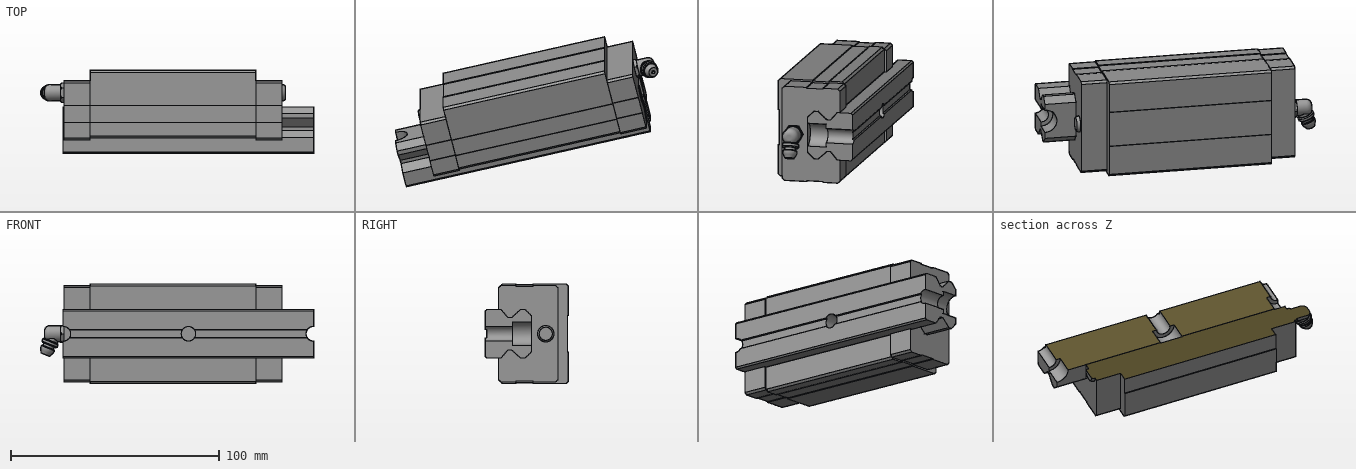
import cadquery as cq
import math


overall_length = 131.4
tool_margin = 1.3

rail_length = 120.6
rail_height = 22.3
rail_half_width = 11.7
rail_top_half_width = 8.7
rail_head_low, rail_head_high = 17.1, 19.2
waist_half_width = 7.8
waist_low, waist_high = 11.0, 12.7
flank_top = 7.6
foot_chamfer = 0.8

base_groove_half_width = 2.1
base_groove_floor_half_width = 1.8
base_groove_depth = 0.8

bolt_pitch = 60.0
first_bolt_x = 0.3
bolt_positions = [first_bolt_x + i * bolt_pitch for i in range(3)]
bolt_hole_diameter = 7.0
bolt_head_diameter = 11.2
bolt_head_depth = 9.2

carriage_start = 0.4
cap_length = 12.6
block_length = 79.7
block_start = carriage_start + cap_length
block_end = block_start + block_length
carriage_end = block_end + cap_length

block_bottom, block_top = 7.4, 40.0
block_width = 48.0
cap_bottom, cap_top = 6.5, 35.0
cap_width = 46.4
edge_chamfer = 1.0

side_groove_low, side_groove_high = 14.8, 23.0
groove_depth = 0.4
top_groove_width = 17.3

fitting_y = 29.2
hex_flats = 8.1
hex_corners = hex_flats / math.cos(math.radians(30))
hex_length = 1.6
hex_chamfer = 0.5
elbow_radius = 7.9 / 2
elbow_end_fillet = 2.6
elbow_end_x = -8.9
plug_radius = 7.9 / 2
plug_end_radius = 3.2
plug_length = 1.6
plug_side_radius = 2.0

nozzle_tilt = 22.5
stem_radius = 6.6 / 2
collar_radius = 8.0 / 2
collar_start, collar_end = 3.7, 5.9
collar_chamfer = 0.5
neck_radius = 5.5 / 2
head_radius = 3.4
head_start = 7.1
head_bevel = 0.4
tip_edge_radius, tip_edge = 5.5 / 2, 9.9
tip_radius, nozzle_length = 2.2, 10.9
inlet_diameter = 1.6
inlet_depth = 2.0

head_centre = tip_edge - math.sqrt(head_radius**2 - tip_edge_radius**2)
ball_start = head_start + head_bevel
ball_start_radius = math.sqrt(head_radius**2 - (head_centre - ball_start) ** 2)
nozzle_reach = head_centre * math.sin(math.radians(nozzle_tilt)) + head_radius
nozzle_x = rail_length - overall_length + nozzle_reach


def extrude_along_x(sketch, start, length):
    """Extrude a sketch drawn in Y and Z along +X from x = start."""
    return sketch.extrude(length).translate((start, 0, 0))


def bar(y_low, y_high, width, start, length):
    """A rectangular bar along X, centred on z = 0."""
    return cq.Workplane("XY").box(length, y_high - y_low, width, centered=(False, False, True)).translate(
        (start, y_low, 0)
    )


def rail_bar(start, length):
    """The rail's cross-section as a plain bar, without holes or base groove."""
    upper_half = [
        (0, rail_half_width - foot_chamfer),
        (foot_chamfer, rail_half_width),
        (flank_top, rail_half_width),
        (waist_low, waist_half_width),
        (waist_high, waist_half_width),
        (rail_head_low, rail_half_width),
        (rail_head_high, rail_half_width),
        (rail_height, rail_top_half_width),
    ]
    lower_half = [(y, -z) for y, z in reversed(upper_half)]
    return extrude_along_x(cq.Workplane("YZ").polyline(upper_half + lower_half).close(), start, length)


def base_groove():
    """A shallow groove with sloping sides along the rail's base."""
    sketch = cq.Workplane("YZ").polyline([
        (0, base_groove_half_width),
        (base_groove_depth, base_groove_floor_half_width),
        (base_groove_depth, -base_groove_floor_half_width),
        (0, -base_groove_half_width),
    ])
    return extrude_along_x(sketch.close(), 0, rail_length)


def bolt_cutter(x):
    """A counterbored bolt hole through the rail, with the head at the top."""
    top = cq.Workplane("XZ", origin=(x, rail_height, 0))
    hole = top.circle(bolt_hole_diameter / 2).extrude(rail_height)
    head = top.circle(bolt_head_diameter / 2).extrude(bolt_head_depth)
    return hole.union(head)


def make_rail():
    rail = rail_bar(0, rail_length).cut(base_groove())
    for x in bolt_positions:
        rail = rail.cut(bolt_cutter(x))
    return rail


def section_with_grooves(y_low, y_high, width, start, length):
    """A bar with chamfered long edges and a shallow groove along both sides."""
    section = bar(y_low, y_high, width, start, length).edges("|X").chamfer(edge_chamfer)
    between_grooves = bar(side_groove_low, side_groove_high, width - 2 * groove_depth, start, length)
    groove_band = bar(side_groove_low, side_groove_high, width, start, length)
    return section.cut(groove_band).union(between_grooves)


def make_block():
    block = section_with_grooves(block_bottom, block_top, block_width, block_start, block_length)
    top_groove = bar(block_top - groove_depth, block_top, top_groove_width, block_start, block_length)
    return block.cut(top_groove)


def make_cap(start):
    return section_with_grooves(cap_bottom, cap_top, cap_width, start, cap_length)


def make_plug():
    """The round plug on the far end cap, its side curving inwards to a flat end."""
    profile = (
        cq.Workplane("XY", origin=(carriage_end, fitting_y, 0))
        .lineTo(0, plug_radius)
        .radiusArc((plug_length, plug_end_radius), plug_side_radius)
        .lineTo(plug_length, 0)
        .close()
    )
    return profile.revolve(360, (0, 0), (1, 0))


def make_hex_base():
    """The hexagon at the root of the fitting, its outer corners bevelled."""
    base = cq.Workplane("YZ", origin=(carriage_start, fitting_y, 0))
    hexagon = base.polygon(6, hex_corners).extrude(-hex_length)
    bevel = base.circle(hex_corners / 2).extrude(-hex_length).faces("<X").chamfer(hex_chamfer)
    return hexagon.intersect(bevel)


def make_elbow():
    """The horizontal cylinder of the fitting with its rounded end."""
    elbow = (
        cq.Workplane("YZ", origin=(elbow_end_x, fitting_y, 0))
        .circle(elbow_radius)
        .extrude(carriage_start - elbow_end_x)
    )
    return elbow.faces("<X").edges().fillet(elbow_end_fillet)


def make_nozzle():
    """The tilted nozzle, turned about its axis and pointing down and outwards."""
    to_head = [
        (0, 0),
        (stem_radius, 0),
        (stem_radius, -collar_start),
        (collar_radius - collar_chamfer, -collar_start),
        (collar_radius, -collar_start - collar_chamfer),
        (collar_radius, -collar_end + collar_chamfer),
        (collar_radius - collar_chamfer, -collar_end),
        (neck_radius, -collar_end),
        (neck_radius, -head_start),
        (ball_start_radius - head_bevel, -head_start),
        (ball_start_radius, -ball_start),
    ]
    profile = (
        cq.Workplane("XZ")
        .polyline(to_head)
        .threePointArc((head_radius, -head_centre), (tip_edge_radius, -tip_edge))
        .lineTo(tip_radius, -nozzle_length)
        .lineTo(0, -nozzle_length)
        .close()
    )
    upright = profile.revolve(360, (0, 0), (0, 1))
    inlet = cq.Workplane("XY", origin=(0, 0, -nozzle_length)).circle(inlet_diameter / 2).extrude(inlet_depth)
    upright = upright.cut(inlet)
    return upright.rotate((0, 0, 0), (0, 1, 0), nozzle_tilt).translate((nozzle_x, fitting_y, 0))


def make_carriage():
    carriage = make_block()
    for part in (make_cap(carriage_start), make_cap(block_end), make_plug()):
        carriage = carriage.union(part)
    for part in (make_hex_base(), make_elbow(), make_nozzle()):
        carriage = carriage.union(part)
    return carriage.cut(rail_bar(-tool_margin, rail_length + 2 * tool_margin))


rail = make_rail()
carriage = make_carriage()
result = cq.Compound.makeCompound([rail.val(), carriage.val()])